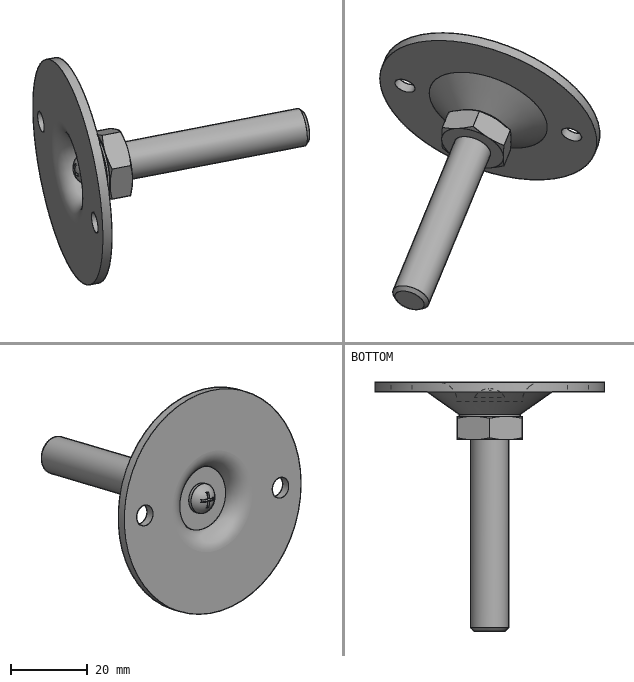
import cadquery as cq
import math

total_length = 65.0

plate_diameter = 60.0
plate_thickness = 2.55
mount_hole_diameter = 5.5
mount_hole_spacing = 46.0

hub_base_diameter = 32.6
neck_diameter = 16.0
neck_start = 8.4

nut_across_flats = 17.0
nut_start = 8.9
nut_height = 6.1
nut_corner_chamfer = 1.3
nut_chamfer_height = 0.5

stud_diameter = 10.0
stud_chamfer = 1.0

recess_floor_diameter = 17.0
recess_flare_radius = 5.0
recess_depth = recess_flare_radius

head_diameter = 8.0
head_rim_height = 1.0
head_dome_height = 2.4
cross_length = 4.15
cross_width = 0.7
cross_depth = 1.0


def along_y(start):
    """Workplane at y = start, facing +Y, with local x along X."""
    return cq.Workplane("XZ", origin=(0, start, 0)).transformed(rotate=(180, 0, 0))


def revolve_about_y(profile):
    """Revolve a closed XY profile (x = radius) about the Y axis."""
    return profile.close().revolve(360, (0, 0, 0), (0, 1, 0))


def make_plate():
    plate = along_y(0).circle(plate_diameter / 2).extrude(plate_thickness)
    hole_points = [(-mount_hole_spacing / 2, 0), (mount_hole_spacing / 2, 0)]
    holes = along_y(0).pushPoints(hole_points).circle(mount_hole_diameter / 2).extrude(plate_thickness)
    return plate.cut(holes)


def make_hub():
    profile = (
        cq.Workplane("XY")
        .lineTo(hub_base_diameter / 2, 0)
        .lineTo(hub_base_diameter / 2, plate_thickness)
        .lineTo(neck_diameter / 2, neck_start)
        .lineTo(neck_diameter / 2, nut_start)
        .lineTo(0, nut_start)
    )
    return revolve_about_y(profile)


def make_nut():
    across_corners = nut_across_flats / math.cos(math.radians(30))
    corner_radius = across_corners / 2
    end_radius = corner_radius - nut_corner_chamfer
    nut_end = nut_start + nut_height
    prism = along_y(nut_start).transformed(rotate=(0, 0, 30)).polygon(6, across_corners).extrude(nut_height)
    envelope = revolve_about_y(
        cq.Workplane("XY")
        .moveTo(0, nut_start)
        .lineTo(end_radius, nut_start)
        .lineTo(corner_radius, nut_start + nut_chamfer_height)
        .lineTo(corner_radius, nut_end - nut_chamfer_height)
        .lineTo(end_radius, nut_end)
        .lineTo(0, nut_end)
    )
    return prism.intersect(envelope)


def make_stud():
    stud = along_y(nut_start).circle(stud_diameter / 2).extrude(total_length - nut_start)
    return stud.faces(">Y").chamfer(stud_chamfer)


def make_recess():
    floor_radius = recess_floor_diameter / 2
    mouth_radius = floor_radius + recess_flare_radius
    arc_offset = recess_flare_radius * math.sqrt(0.5)
    profile = (
        cq.Workplane("XY")
        .lineTo(mouth_radius, 0)
        .threePointArc(
            (mouth_radius - arc_offset, recess_flare_radius - arc_offset),
            (floor_radius, recess_flare_radius),
        )
        .lineTo(0, recess_depth)
    )
    return revolve_about_y(profile)


def make_screw_head():
    radius = head_diameter / 2
    rim = recess_depth - head_rim_height
    crown = rim - head_dome_height
    sphere_radius = (radius**2 + head_dome_height**2) / (2 * head_dome_height)
    half_angle = math.asin(radius / sphere_radius) / 2
    arc_middle = (
        sphere_radius * math.sin(half_angle),
        crown + sphere_radius * (1 - math.cos(half_angle)),
    )
    head = revolve_about_y(
        cq.Workplane("XY")
        .moveTo(0, recess_depth)
        .lineTo(radius, recess_depth)
        .lineTo(radius, rim)
        .threePointArc(arc_middle, (0, crown))
    )
    for angle in (0, 90):
        slot = along_y(crown).transformed(rotate=(0, 0, angle)).rect(cross_length, cross_width)
        head = head.cut(slot.extrude(cross_depth))
    return head


body = make_plate().union(make_hub()).union(make_nut()).union(make_stud())
result = body.cut(make_recess()).union(make_screw_head())